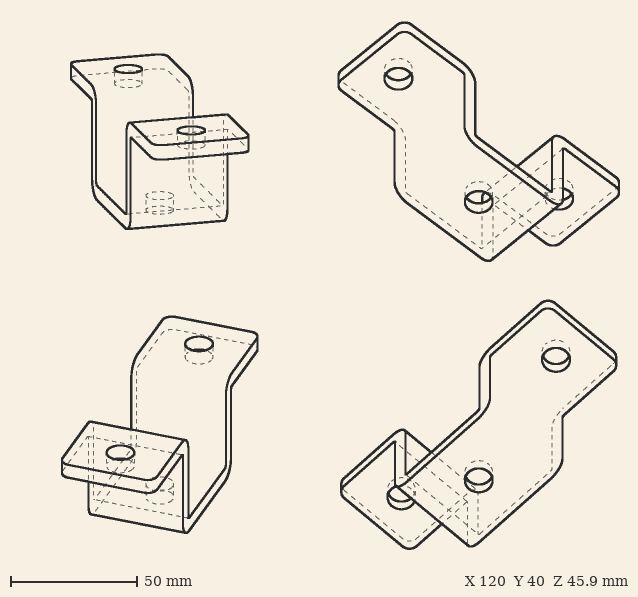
import cadquery as cq

length = 120.0
width = 40.0
thickness = 6.0
inner_bend_radius = 1.0
outer_bend_radius = inner_bend_radius + thickness
corner_radius = 4.0

right_flange_top = 45.86
flange_step = 0.36
left_flange_top = right_flange_top - flange_step

channel_outer_width = 54.0

hole_diameter = 11.0
hole_spacing = 44.0

left_end = -length / 2
right_end = length / 2
left_wall_outer = -channel_outer_width / 2
left_wall_inner = left_wall_outer + thickness
right_wall_outer = channel_outer_width / 2
right_wall_inner = right_wall_outer - thickness


def make_sharp_strip():
    """Strip with square folds, centred on the XZ plane, resting on Z = 0."""
    outline = [
        (left_end, left_flange_top),
        (left_wall_inner, left_flange_top),
        (left_wall_inner, thickness),
        (right_wall_inner, thickness),
        (right_wall_inner, right_flange_top),
        (right_end, right_flange_top),
        (right_end, right_flange_top - thickness),
        (right_wall_outer, right_flange_top - thickness),
        (right_wall_outer, 0),
        (left_wall_outer, 0),
        (left_wall_outer, left_flange_top - thickness),
        (left_end, left_flange_top - thickness),
    ]
    return cq.Workplane("XZ").polyline(outline).close().extrude(width / 2, both=True)


def round_fold(strip, x, z, radius):
    """Round the fold edge that runs along Y through (x, z)."""
    edge = strip.edges(cq.selectors.NearestToPointSelector((x, 0, z)))
    return edge.fillet(radius)


def round_folds(strip):
    """Give all four folds their inside and outside bend radii."""
    outside_folds = [
        (left_wall_inner, left_flange_top),
        (right_wall_inner, right_flange_top),
        (left_wall_outer, 0),
        (right_wall_outer, 0),
    ]
    inside_folds = [
        (left_wall_outer, left_flange_top - thickness),
        (right_wall_outer, right_flange_top - thickness),
        (left_wall_inner, thickness),
        (right_wall_inner, thickness),
    ]
    for x, z in outside_folds:
        strip = round_fold(strip, x, z, outer_bend_radius)
    for x, z in inside_folds:
        strip = round_fold(strip, x, z, inner_bend_radius)
    return strip


def round_flange_corners(strip):
    """Round the free corners of both flanges."""
    for end_face in ("<X", ">X"):
        strip = strip.faces(end_face).edges("|Z").fillet(corner_radius)
    return strip


def drill_holes(strip):
    """Drill one through hole in each flange and one in the base."""
    centers = [(-hole_spacing, 0), (0, 0), (hole_spacing, 0)]
    drills = cq.Workplane("XY").pushPoints(centers).circle(hole_diameter / 2).extrude(right_flange_top)
    return strip.cut(drills)


result = drill_holes(round_flange_corners(round_folds(make_sharp_strip())))